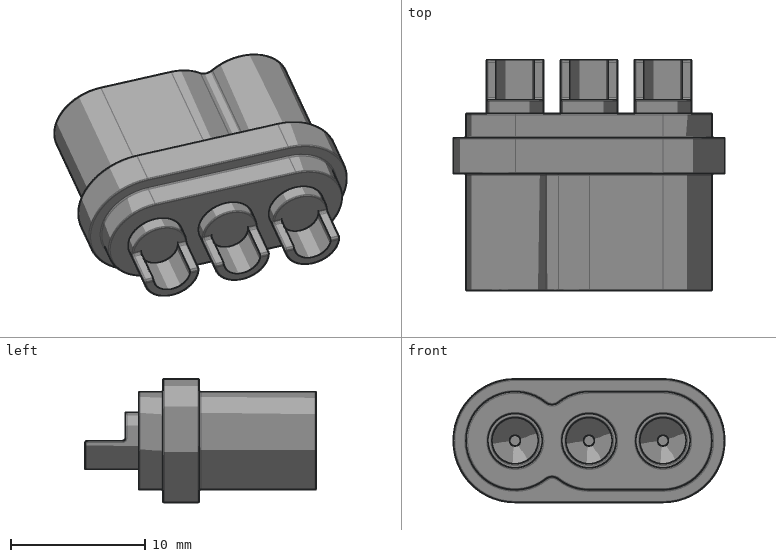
import cadquery as cq
import math

pitch = 5.5
contact_places = [-pitch, 0, pitch]

body_radius = 3.65
flange_radius = 4.6
valley_radius = 0.75
flange_front = 8.7
flange_back = 11.4
housing_length = 13.2
edge_round = 0.1
opening_radius = 2.02
socket_recess = 1.5

contact_radius = 2.13
contact_end = 17.2
socket_bore_radius = 1.72
socket_bore_end = 9.0
socket_tip_radius = 0.4
socket_tip = 10.0
cup_step = 14.2
cup_bore_radius = 1.43
cup_rim_round = 0.2


def extrude_along_y(profile, start, end):
    """Extrude a profile drawn in the XZ plane from y = start to y = end."""
    return profile.extrude(start - end).translate((0, start, 0))


def cylinder(radius, start, end):
    return cq.Workplane("ZX", origin=(0, start, 0)).circle(radius).extrude(end - start)


def stadium(radius, start, end):
    length = 2 * (pitch + radius)
    return extrude_along_y(cq.Workplane("XZ").slot2D(length, 2 * radius), start, end)


def plug(start, end):
    """Front part of the housing: a barrel on the left, waisted against a two-contact stadium."""
    barrel_x = -pitch
    valley_x = barrel_x / 2
    valley_center_z = math.sqrt((body_radius + valley_radius) ** 2 - valley_x ** 2)
    valley_bottom_z = valley_center_z - valley_radius
    tangent_share = body_radius / (body_radius + valley_radius)
    tangent_z = valley_center_z * tangent_share
    middle_tangent_x = valley_x * tangent_share
    barrel_tangent_x = barrel_x - middle_tangent_x
    outline = (
        cq.Workplane("XZ")
        .moveTo(0, body_radius)
        .lineTo(pitch, body_radius)
        .threePointArc((pitch + body_radius, 0), (pitch, -body_radius))
        .lineTo(0, -body_radius)
        .radiusArc((middle_tangent_x, -tangent_z), body_radius)
        .threePointArc((valley_x, -valley_bottom_z), (barrel_tangent_x, -tangent_z))
        .threePointArc((barrel_x - body_radius, 0), (barrel_tangent_x, tangent_z))
        .threePointArc((valley_x, valley_bottom_z), (middle_tangent_x, tangent_z))
        .radiusArc((0, body_radius), body_radius)
        .close()
    )
    return extrude_along_y(outline, start, end)


def box_around_plane(y, radius):
    """Selector for the edges in the plane at y that lie within this radius of the contact axes."""
    reach = radius + edge_round
    near_corner = (-pitch - reach, y - edge_round / 2, -reach)
    far_corner = (pitch + reach, y + edge_round / 2, reach)
    return cq.selectors.BoxSelector(near_corner, far_corner, boundingbox=True)


def make_housing():
    flange = stadium(flange_radius, flange_front, flange_back)
    flange = flange.faces("<Y or >Y").edges().fillet(edge_round)
    housing = flange.union(plug(0, flange_front))
    housing = housing.union(stadium(body_radius, flange_back, housing_length))
    housing = housing.faces("<Y or >Y").edges().fillet(edge_round)
    for y in (flange_front, flange_back):
        housing = housing.edges(box_around_plane(y, body_radius)).fillet(edge_round)
    for x in contact_places:
        opening = cylinder(opening_radius, 0, socket_recess).translate((x, 0, 0))
        seat = cylinder(contact_radius, socket_recess, housing_length).translate((x, 0, 0))
        housing = housing.cut(opening).cut(seat)
    opening_edges = housing.edges(box_around_plane(0, opening_radius))
    return opening_edges.fillet(edge_round)


def contact_blank():
    """Turned contact with a blind bore: straight with a rounded mouth, then conical to a flat tip."""
    half_section = (
        cq.Workplane("YZ")
        .moveTo(socket_recess, socket_bore_radius)
        .lineTo(socket_recess, contact_radius)
        .lineTo(contact_end, contact_radius)
        .lineTo(contact_end, 0)
        .lineTo(socket_tip, 0)
        .lineTo(socket_tip, socket_tip_radius)
        .lineTo(socket_bore_end, socket_bore_radius)
        .close()
    )
    blank = half_section.revolve(360, (0, 0, 0), (1, 0, 0))
    bore_mouth = blank.faces("<Y").edges(cq.selectors.RadiusNthSelector(0))
    return bore_mouth.fillet(edge_round)


def make_contact():
    """Contact with its rear end opened into a half-round solder cup."""
    cup_length = contact_end - cup_step
    upper_half = (
        cq.Workplane("XY", origin=(0, cup_step, 0))
        .box(2 * contact_radius, cup_length, contact_radius, centered=(True, False, False))
    )
    contact = contact_blank().cut(upper_half)
    contact = contact.cut(cylinder(cup_bore_radius, cup_step, contact_end))
    contact = contact.faces("+Z").edges("|X").fillet(cup_rim_round)
    outer_rim_edges = contact.faces("+Z").edges("|Y").edges("<X or >X")
    return outer_rim_edges.fillet(edge_round)


housing = make_housing()
contact = make_contact()
contacts = [contact.translate((x, 0, 0)) for x in contact_places]
result = cq.Compound.makeCompound([housing.val(), *[contact.val() for contact in contacts]])